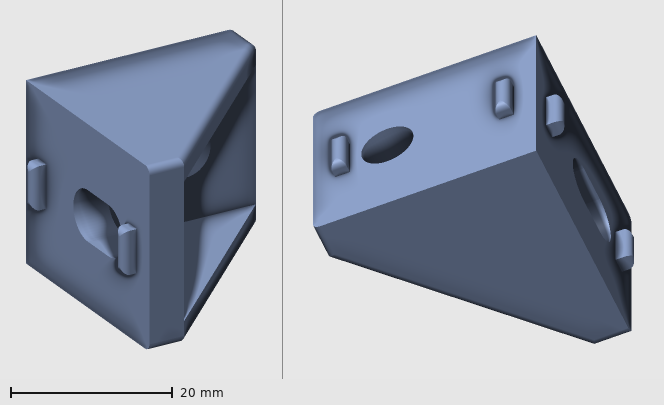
import cadquery as cq

overall = 32.0
height = 25.0
wall = 5.0
web = 3.0
edge_radius = 1.0

rib_width = 2.0
rib_length = 6.0
rib_projection = 2.0
rib_inset = 4.0

hole_diameter = 7.0
hole_offset = 20.0
slot_offset = 17.5
slot_length = 12.0

leg = overall - rib_projection
middle = height / 2
rib_round = rib_width / 2
rib_offsets = (rib_inset, leg - rib_inset)


def make_body():
    """Right-angled wedge with blunt ends, its top and bottom edges rounded away from the mounting faces."""
    outline = [(0, 0), (leg, 0), (leg, wall), (wall, leg), (0, leg)]
    body = cq.Workplane("XY").polyline(outline).close().extrude(height)
    end_x_edges = body.faces(">X").edges("|Y")
    end_y_edges = body.faces(">Y").edges("|X")
    slope_edges = body.faces(">(1, 1, 0)").edges("not |Z")
    rounded = end_x_edges.add(end_y_edges).add(slope_edges)
    return rounded.fillet(edge_radius)


def make_cavity():
    """Triangular pocket between plates and webs, open along the slope."""
    return (
        cq.Workplane("XY", origin=(0, 0, web))
        .polyline([(wall, wall), (leg, wall), (wall, leg)])
        .close()
        .extrude(height - 2 * web)
    )


def make_rib(offset):
    """Rib on the Y = 0 face; its outer end is rounded in both directions."""
    straight = rib_projection - rib_round
    across = (
        cq.Workplane("XY", origin=(offset, 0, middle - rib_length / 2))
        .moveTo(-rib_round, 0)
        .lineTo(-rib_round, -straight)
        .threePointArc((0, -rib_projection), (rib_round, -straight))
        .lineTo(rib_round, 0)
        .close()
        .extrude(rib_length)
    )
    along = (
        cq.Workplane("XY")
        .box(rib_width, rib_projection, rib_length)
        .faces("<Y")
        .edges("|X")
        .fillet(rib_round)
        .translate((offset, -rib_projection / 2, middle))
    )
    return across.intersect(along)


def swap_x_and_y(shape):
    """Mirror a shape across the plane X = Y."""
    return shape.mirror("YZ").rotate((0, 0, 0), (0, 0, 1), -90)


def make_slot():
    """Slot along X through the plate on the Y = 0 face."""
    return (
        cq.Workplane("XZ", origin=(slot_offset, 0, middle))
        .slot2D(slot_length, hole_diameter)
        .extrude(-wall)
    )


def make_hole():
    """Round hole through the plate on the X = 0 face."""
    return (
        cq.Workplane("YZ", origin=(0, hole_offset, middle))
        .circle(hole_diameter / 2)
        .extrude(wall)
    )


result = make_body().cut(make_cavity()).cut(make_slot()).cut(make_hole())
for rib_offset in rib_offsets:
    rib = make_rib(rib_offset)
    result = result.union(rib).union(swap_x_and_y(rib))